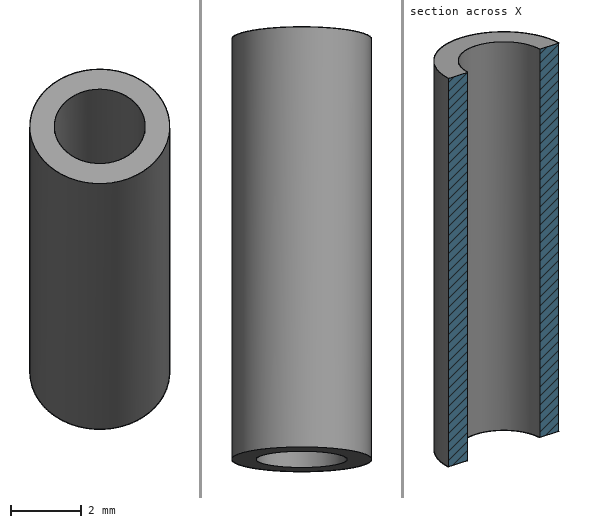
import cadquery as cq

length = 12.2
outer_diameter = 4.0
bore_diameter = 2.6

result = (
    cq.Workplane("XY")
    .circle(outer_diameter / 2)
    .circle(bore_diameter / 2)
    .extrude(length)
)